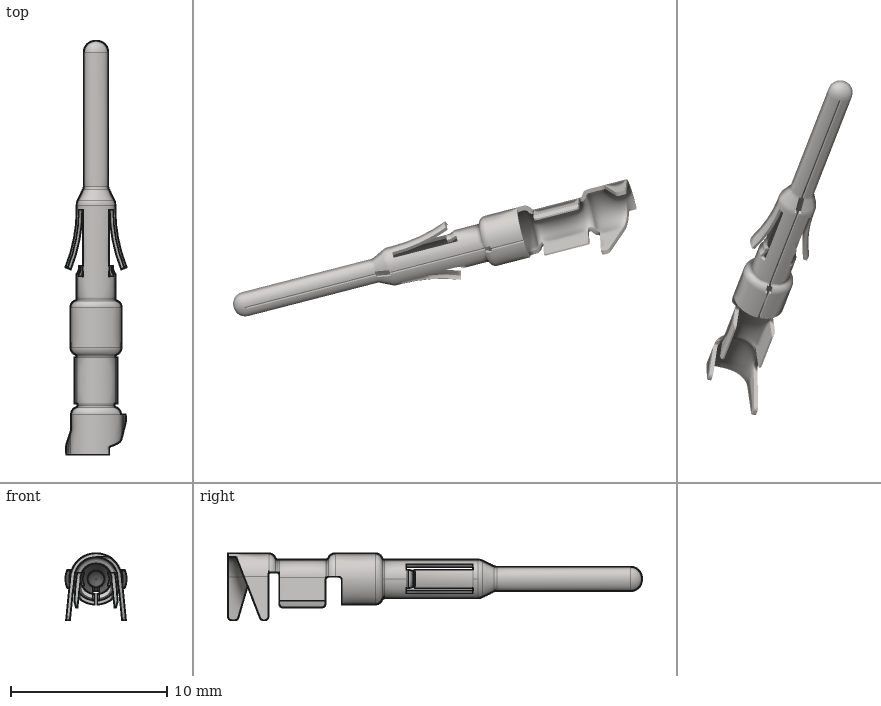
import cadquery as cq
import math

length = 26.5
overall_width = 3.93
overall_height = 4.3
sheet = 0.26
shortest_edge = 1e-6
overrun = 1.0

pin_radius = 0.79
body_radius = 1.25
barrel_radius = 1.65
tip_round = 0.75

insulation_crimp_end = 2.6
rear_neck_end = 3.18
wire_crimp_start = 3.28
wire_crimp_end = 6.25
barrel_wall_start = 7.28
barrel_rear = 6.88
barrel_front = 9.44
body_rear = 10.0
body_front = 16.14
pin_start = 17.09

pin_root_round = 0.42
body_front_round = 0.7
step_lead = 0.03
step_foot_setback = 0.1

wing_lean = 5.7
insulation_wing_bottom = barrel_radius - overall_height
wire_wing_bottom = -1.83
wire_wing_bevel_top = -1.41
wire_wing_edge = 0.1
insulation_notch_top = 0.4
barrel_notch_top = 0.13
wing_tip_round = 0.25
notch_round = 0.12
barrel_notch_round = 0.2
left_wing_tip_width = 0.62
left_wing_root = 1.525
right_wing_tip = 2.11
right_wing_notch = 0.53
right_wing_notch_top = 1.41
wing_root_round = 0.3

slot_rear = 11.42
slot_front = 15.68
slot_half_angle = 48.0
tine_half_angle = 28.7
tine_reach = overall_width / 2
tine_tip = 12.0
stub_bend_start = 11.55
stub_bend_end = 11.85
stub_front = 12.1
stub_radius = 1.1
slot_clearance = 0.3

closing_line_turn = 90

seam_width = 0.15
relief_width = 0.4
step_relief_end = 9.85


def rounded_outline(corners):
    """Closed wire in the YZ plane through (y, z, rounding radius) corners."""
    path = None
    last = None
    for i, (y, z, radius) in enumerate(corners):
        here = cq.Vector(y, z)
        before = cq.Vector(*corners[i - 1][:2]) - here
        after = cq.Vector(*corners[(i + 1) % len(corners)][:2]) - here
        half = before.getAngle(after) / 2
        setback = radius / math.tan(half)
        start = here + before.normalized() * setback
        end = here + after.normalized() * setback
        inward = (before.normalized() + after.normalized()).normalized()
        middle = here + inward * (radius / math.sin(half) - radius)
        if path is None:
            path = cq.Workplane("YZ").moveTo(start.x, start.y)
        elif (start - last).Length > shortest_edge:
            path = path.lineTo(start.x, start.y)
        last = end
        if radius > 0:
            path = path.threePointArc((middle.x, middle.y), (end.x, end.y))
    return path.close()


def slope_angle(start, end):
    return math.atan2(end[1] - start[1], end[0] - start[0])


def inner_corner(before, corner, after):
    """The corner on the inside of the sheet, given an outer corner and its neighbours."""
    angle_in = slope_angle(before, corner)
    angle_out = slope_angle(corner, after)
    middle = (angle_in + angle_out) / 2
    half_turn = (angle_out - angle_in) / 2
    mitre = sheet / math.cos(half_turn)
    y, radius, rounding = corner
    if rounding > 0:
        rounding += math.copysign(sheet, half_turn)
    return y + mitre * math.sin(middle), radius - mitre * math.cos(middle), rounding


def formed_tube(outer):
    """Sheet of revolution with outer profile corners (y, radius, rounding), in rising y."""
    first, last = outer[0], outer[-1]
    inner = [(first[0], first[1] - sheet, 0)]
    for before, corner, after in zip(outer, outer[1:], outer[2:]):
        inner.append(inner_corner(before, corner, after))
    if last[1] > 0:
        inner.append((last[0], last[1] - sheet, 0))
    else:
        inner.append((last[0] - sheet, 0, 0))
    tube = revolve_about_axis(rounded_outline(outer + inner[::-1]), 360)
    return tube.rotate((0, 0, 0), (0, 1, 0), closing_line_turn)


def revolve_about_axis(outline, angle):
    return outline.revolve(angle, (0, 0, 0), (1, 0, 0))


def side_sector(corners, half_angle, side):
    """Piece of revolution of a (y, radius) profile, centred on the +X (1) or -X (-1) side."""
    profile = cq.Workplane("YZ").polyline(corners).close()
    piece = revolve_about_axis(profile, 2 * half_angle)
    return piece.rotate((0, 0, 0), (0, 1, 0), side * 90 - half_angle)


def step_corners(shoulder_end, foot_end):
    """Corners of the smooth step from the barrel radius at shoulder_end to the body radius at foot_end.

    The shoulder rounding is sized to run straight into the foot rounding.
    """
    direction = math.copysign(1, foot_end - shoulder_end)
    foot = foot_end - direction * step_foot_setback
    drop = barrel_radius - body_radius
    run = abs(foot - shoulder_end)
    setback = (run**2 + drop**2 - step_foot_setback**2) / (2 * (run + step_foot_setback))
    half_slope = math.atan2(drop, run - setback) / 2
    return [
        (shoulder_end + direction * setback, barrel_radius, setback / math.tan(half_slope)),
        (foot, body_radius, step_foot_setback / math.tan(half_slope)),
    ]


def pin_and_barrel():
    rear_step = step_corners(barrel_rear, wire_crimp_end + step_lead)
    front_step = step_corners(barrel_front, body_rear)
    return formed_tube([(wire_crimp_end, body_radius, 0)] + rear_step[::-1] + front_step + [
        (body_front, body_radius, body_front_round),
        (pin_start, pin_radius, pin_root_round),
        (length, pin_radius, tip_round),
        (length, 0, 0),
    ])


def rear_neck():
    shoulder, foot = step_corners(insulation_crimp_end, rear_neck_end)
    neck_start = (insulation_crimp_end, barrel_radius, 0)
    return formed_tube([neck_start, shoulder, foot, (wire_crimp_start, body_radius, 0)])


def crimp_arch(radius, bottom, y_start, y_end):
    """Half-round sheet roof with flat wings that lean outward, tangent to the roof."""
    lean = math.radians(wing_lean)

    def solid_arch(r):
        tangent_x = r * math.cos(lean)
        tangent_z = r * math.sin(lean)
        foot_x = tangent_x + (tangent_z - bottom) * math.tan(lean)
        return (
            cq.Workplane("XZ", origin=(0, y_start, 0))
            .moveTo(foot_x, bottom)
            .lineTo(tangent_x, tangent_z)
            .threePointArc((0, r), (-tangent_x, tangent_z))
            .lineTo(-foot_x, bottom)
            .close()
            .extrude(y_start - y_end)
        )

    return solid_arch(radius).cut(solid_arch(radius - sheet))


def wire_wing_bevel(side):
    """Wedge that thins the lower edge of a wire crimp wing from the outside."""
    lean = math.radians(wing_lean)

    def outer_x(z):
        return body_radius / math.cos(lean) - z * math.tan(lean)

    edge_x = outer_x(wire_wing_bottom) - sheet / math.cos(lean) + wire_wing_edge
    return (
        cq.Workplane("XZ", origin=(0, wire_crimp_start, 0))
        .moveTo(side * outer_x(wire_wing_bevel_top), wire_wing_bevel_top)
        .lineTo(side * edge_x, wire_wing_bottom)
        .lineTo(side * (edge_x + overrun), wire_wing_bottom)
        .lineTo(side * (edge_x + overrun), wire_wing_bevel_top)
        .close()
        .extrude(wire_crimp_start - wire_crimp_end)
    )


def side_silhouette(insulation_wing, side):
    """Prism over one half of the part that keeps the wings and removes the notches between them."""
    top = barrel_radius + overrun
    bottom = -barrel_radius - overrun
    outline = [(0, top, 0)] + insulation_wing + [
        (wire_crimp_start, insulation_notch_top, notch_round),
        (wire_crimp_start, wire_wing_bottom, wing_tip_round),
        (wire_crimp_end, wire_wing_bottom, wing_tip_round),
        (wire_crimp_end, barrel_notch_top, barrel_notch_round),
        (barrel_wall_start, barrel_notch_top, barrel_notch_round),
        (barrel_wall_start, bottom, 0),
        (length + overrun, bottom, 0),
        (length + overrun, top, 0),
    ]
    return rounded_outline(outline).extrude(side * (barrel_radius + overrun))


def trimmed_sides():
    left_wing = [
        (0, insulation_wing_bottom, wing_tip_round),
        (left_wing_tip_width, insulation_wing_bottom, wing_tip_round),
        (left_wing_root, insulation_notch_top, wing_root_round),
    ]
    right_wing = [
        (0, right_wing_notch_top, 0),
        (right_wing_notch, right_wing_notch_top, notch_round),
        (right_wing_tip, insulation_wing_bottom, wing_tip_round),
        (insulation_crimp_end, insulation_wing_bottom, wing_tip_round),
        (insulation_crimp_end, insulation_notch_top, notch_round),
    ]
    return side_silhouette(left_wing, -1).union(side_silhouette(right_wing, 1))


def underside_slit(width, y_start, y_end):
    depth = barrel_radius + overrun
    slit = cq.Workplane("XY").box(width, y_end - y_start, depth, centered=(True, False, False))
    return slit.translate((0, y_start, -depth))


def tine_slot(side):
    inside = body_radius - sheet - slot_clearance
    outside = body_radius + slot_clearance
    corners = [(slot_rear, inside), (slot_front, inside), (slot_front, outside), (slot_rear, outside)]
    return side_sector(corners, slot_half_angle, side)


def tine(side):
    """Curved strip of the body wall, bent outward about an upright axis from the slot's front end."""
    rise = tine_reach - body_radius
    run = slot_front - tine_tip
    bend_angle = 2 * math.atan2(rise, run)
    bend_radius = run / math.sin(bend_angle)
    half_angle = math.radians(tine_half_angle)

    def on_wall(radius, angle):
        return radius * math.cos(angle), radius * math.sin(angle)

    inside = body_radius - sheet
    pivot = body_radius + bend_radius
    strip = (
        cq.Workplane("XZ", origin=(0, slot_front, 0))
        .moveTo(*on_wall(body_radius, -half_angle))
        .threePointArc((body_radius, 0), on_wall(body_radius, half_angle))
        .lineTo(*on_wall(inside, half_angle))
        .threePointArc((inside, 0), on_wall(inside, -half_angle))
        .close()
        .revolve(math.degrees(bend_angle), (pivot, 0, 0), (pivot, 1, 0))
    )
    return strip if side > 0 else strip.mirror("YZ")


def slot_stub(side):
    """Short tongue at the slot's rear end, stepped inward behind the tine tip."""
    outer = [
        (slot_rear, body_radius),
        (stub_bend_start, body_radius),
        (stub_bend_end, stub_radius),
        (stub_front, stub_radius),
    ]
    inner = [(y, radius - sheet) for y, radius in reversed(outer)]
    return side_sector(outer + inner, tine_half_angle, side)


outline = trimmed_sides()
contact = pin_and_barrel().intersect(outline)
contact = contact.cut(underside_slit(seam_width, wire_crimp_end, length - tip_round))
contact = contact.cut(underside_slit(relief_width, barrel_front, step_relief_end))
contact = contact.cut(underside_slit(relief_width, body_front, pin_start))

wire_crimp = crimp_arch(body_radius, wire_wing_bottom, wire_crimp_start, wire_crimp_end)
insulation_crimp = crimp_arch(barrel_radius, insulation_wing_bottom, 0, insulation_crimp_end)
for section in (wire_crimp, rear_neck(), insulation_crimp):
    contact = contact.union(section.intersect(outline))

for side in (-1, 1):
    contact = contact.cut(wire_wing_bevel(side))
    contact = contact.cut(tine_slot(side))
    contact = contact.union(tine(side))
    contact = contact.union(slot_stub(side))

result = contact